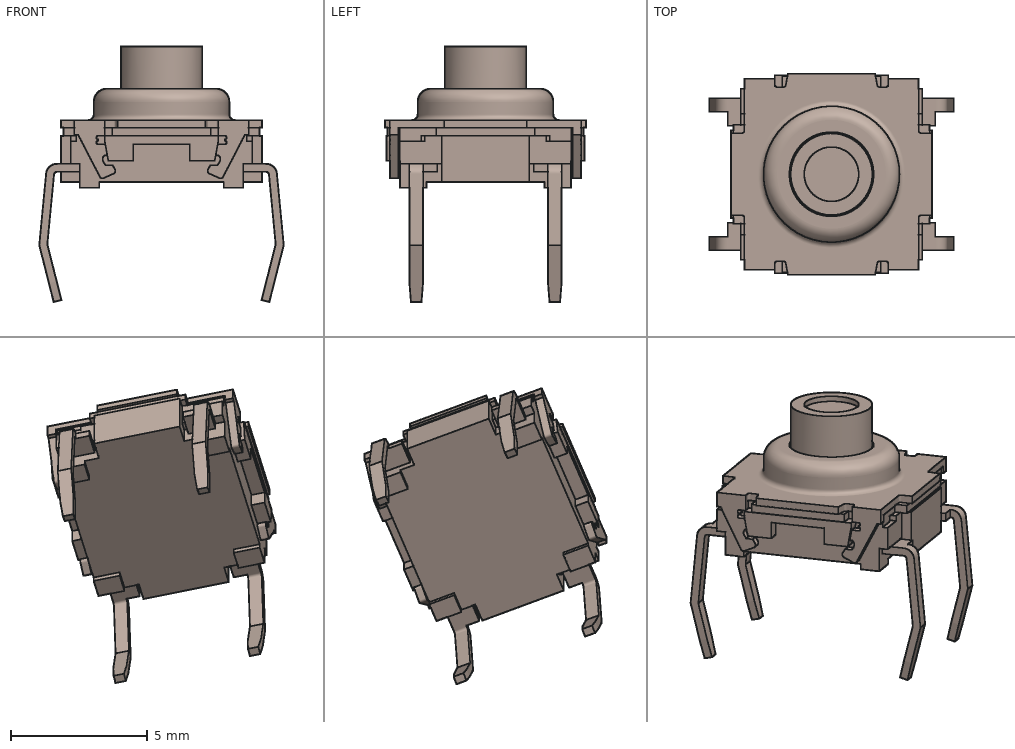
import cadquery as cq
import math

BODY_FLOOR = 0.21
LEAD_BOTTOM = 0.58
LEAD_THICKNESS = 0.3
LEAD_TOP = LEAD_BOTTOM + LEAD_THICKNESS
LATCH_BOTTOM = 0.99
POST_LEDGE = 1.71
BODY_TOP = 1.91
COVER_BOTTOM = 2.21
COVER_TOP = 2.49
COLLAR_TOP = 3.65
BUTTON_TOP = 5.2
LEAD_TIP = -4.2

COVER_WIDTH = 7.4
COVER_HALF = COVER_WIDTH / 2
COVER_CORNER_X = 3.21
COVER_CORNER_Y = 3.52
SIDE_TAB_HALF = 1.51
END_TAB_HALF = 1.61
NOTCH_OUTER = 2.09
NOTCH_TAPER = 0.08
NOTCH_RADIUS = 0.08
HOOK_THICKNESS = 0.31
HOOK_INNER_Y = COVER_CORNER_Y - HOOK_THICKNESS

HOOK_SHOULDER_X = 3.06
HOOK_SHOULDER_Z = 1.95
HEEL_START = (2.27, 0.4)
HEEL_MIDDLE = (2.21, 0.35)
HEEL_END = (2.12, 0.36)
TOE_START = (1.77, 0.52)
TOE_MIDDLE = (1.7, 0.59)
TOE_END = (1.72, 0.7)
SEAT_INNER_X = 1.805
SEAT_OUTER_X = 2.06
SEAT_Z = 0.84
THROAT_START = (2.14, 0.97)
THROAT_MIDDLE = (2.16, 1.09)
THROAT_END = (2.08, 1.19)
RECESS_X = 2.33
RECESS_LOBE_RADIUS = 0.07

BODY_HALF_Y = 3.15
LOWER_BODY_HALF_X = 3.01
POST_HALF_X = 3.34
SIDE_BLOCK_HALF_Y = 1.62
FOOT_SIZE_X = 0.72
FOOT_SIZE_Y = 0.99
LEDGE_X = 3.14
LEDGE_Y = 2.23
RELIEF_WIDTH = 0.13
RELIEF_DEPTH = 0.09

LATCH_Y = 3.65
LATCH_TOP_HALF = NOTCH_OUTER
LATCH_BOTTOM_HALF = 1.955
LATCH_SLOT_HALF = 1.03
LATCH_SLOT_TOP = 1.6

SEAL_HALF = 3.61
SEAL_TAB_HALF = 1.81

COLLAR_DIAMETER = 5.0
COLLAR_FILLET = 0.5
FLARE_RADIUS = 0.2
GAP_DIAMETER = 3.1
GAP_DEPTH = 0.19
BUTTON_DIAMETER = 3.0
DIMPLE_DIAMETER = 2.0
DIMPLE_DEPTH = 0.2

LEAD_SPAN = 9.0
LEAD_HALF_SPAN = LEAD_SPAN / 2
LEAD_SHOULDER_X = 4.21
LEAD_KINK_Z = -2.11
LEAD_TIP_X = 3.97
LEAD_Y = 2.55
LEAD_WIDTH = 0.51
LEAD_TIP_WIDTH = 0.395
LEAD_TAPER_LENGTH = 0.71
LEAD_BEND_RADIUS = 0.1
LEAD_PAD_X = 3.82
LEAD_PAD_INNER_Y = 1.78


def block(x0, x1, y0, y1, z0, z1):
    """Box between two opposite corners."""
    return cq.Workplane("XY").box(x1 - x0, y1 - y0, z1 - z0, centered=False).translate((x0, y0, z0))


def slab(half_x, half_y, z0, z1):
    """Box centred on the Z axis."""
    return block(-half_x, half_x, -half_y, half_y, z0, z1)


def prism_y(outline, y0, y1):
    """Extrude a closed XZ wire from y0 to y1."""
    return outline.extrude(-(y1 - y0)).translate((0, y0, 0))


def four_corners(shape):
    """A shape from the +X +Y quadrant together with its three mirror images."""
    pair = shape.union(shape.mirror("YZ"))
    return pair.union(pair.mirror("XZ"))


def make_body():
    body = slab(LOWER_BODY_HALF_X, BODY_HALF_Y, BODY_FLOOR, BODY_TOP)
    body = body.union(slab(POST_HALF_X, BODY_HALF_Y, LEAD_TOP, BODY_TOP))
    body = body.union(slab(COVER_HALF, SIDE_BLOCK_HALF_Y, BODY_FLOOR, BODY_TOP))
    foot = block(
        LOWER_BODY_HALF_X - FOOT_SIZE_X, LOWER_BODY_HALF_X,
        BODY_HALF_Y - FOOT_SIZE_Y, BODY_HALF_Y,
        0, BODY_FLOOR,
    )
    ledge = block(LEDGE_X, POST_HALF_X, LEDGE_Y, BODY_HALF_Y, POST_LEDGE, BODY_TOP)
    relief = block(
        LEDGE_X - RELIEF_DEPTH, POST_HALF_X,
        LEDGE_Y, LEDGE_Y + RELIEF_WIDTH,
        POST_LEDGE, BODY_TOP,
    )
    return body.union(four_corners(foot)).cut(four_corners(ledge.union(relief)))


def make_latch():
    """Tapered block under the end tabs, slotted from below."""
    outline = cq.Workplane("XZ").polyline([
        (LATCH_TOP_HALF, BODY_TOP),
        (LATCH_TOP_HALF, POST_LEDGE),
        (LATCH_BOTTOM_HALF, LATCH_BOTTOM),
        (LATCH_SLOT_HALF, LATCH_BOTTOM),
        (LATCH_SLOT_HALF, LATCH_SLOT_TOP),
        (-LATCH_SLOT_HALF, LATCH_SLOT_TOP),
        (-LATCH_SLOT_HALF, LATCH_BOTTOM),
        (-LATCH_BOTTOM_HALF, LATCH_BOTTOM),
        (-LATCH_TOP_HALF, POST_LEDGE),
        (-LATCH_TOP_HALF, BODY_TOP),
    ]).close()
    latch = prism_y(outline, BODY_HALF_Y, LATCH_Y)
    return latch.union(latch.mirror("XZ"))


def make_seal():
    seal = slab(LEDGE_X, BODY_HALF_Y, BODY_TOP, COVER_BOTTOM)
    seal = seal.union(slab(SEAL_HALF, SEAL_TAB_HALF, BODY_TOP, COVER_BOTTOM))
    return seal.union(slab(SEAL_TAB_HALF, SEAL_HALF, BODY_TOP, COVER_BOTTOM))


def make_cover():
    side_tabs = slab(COVER_HALF, SIDE_TAB_HALF, COVER_BOTTOM, COVER_TOP)
    cover = slab(COVER_CORNER_X, COVER_CORNER_Y, COVER_BOTTOM, COVER_TOP).union(side_tabs)
    tab_roots = cq.selectors.BoxSelector(
        (-COVER_CORNER_X - NOTCH_RADIUS, -SIDE_TAB_HALF - NOTCH_RADIUS, COVER_BOTTOM),
        (COVER_CORNER_X + NOTCH_RADIUS, SIDE_TAB_HALF + NOTCH_RADIUS, COVER_TOP),
    )
    cover = cover.edges("|Z").edges(tab_roots).fillet(NOTCH_RADIUS)
    cover = cover.union(slab(NOTCH_OUTER, COVER_HALF, COVER_BOTTOM, COVER_TOP))
    notch = (
        cq.Workplane("XY", origin=(0, 0, COVER_BOTTOM))
        .polyline([
            (END_TAB_HALF, COVER_HALF),
            (END_TAB_HALF + NOTCH_TAPER, HOOK_INNER_Y),
            (NOTCH_OUTER, HOOK_INNER_Y),
            (NOTCH_OUTER, COVER_HALF),
        ])
        .close()
        .extrude(COVER_TOP - COVER_BOTTOM)
        .edges("|Z and <Y")
        .fillet(NOTCH_RADIUS)
    )
    return cover.cut(four_corners(notch))


def make_hook():
    """Bent hook hanging from a cover corner, with a barbed foot and a side recess."""
    lobe_low = LATCH_SLOT_TOP + 2 * RECESS_LOBE_RADIUS
    lobe_high = BODY_TOP - 2 * RECESS_LOBE_RADIUS
    lobe_tip = RECESS_X + RECESS_LOBE_RADIUS
    outline = (
        cq.Workplane("XZ")
        .moveTo(NOTCH_OUTER, COVER_BOTTOM)
        .lineTo(COVER_CORNER_X, COVER_BOTTOM)
        .lineTo(COVER_CORNER_X, HOOK_SHOULDER_Z)
        .lineTo(HOOK_SHOULDER_X, HOOK_SHOULDER_Z)
        .lineTo(*HEEL_START)
        .threePointArc(HEEL_MIDDLE, HEEL_END)
        .lineTo(*TOE_START)
        .threePointArc(TOE_MIDDLE, TOE_END)
        .lineTo(SEAT_INNER_X, SEAT_Z)
        .lineTo(SEAT_OUTER_X, SEAT_Z)
        .lineTo(*THROAT_START)
        .threePointArc(THROAT_MIDDLE, THROAT_END)
        .lineTo(LATCH_BOTTOM_HALF, THROAT_END[1])
        .lineTo(LATCH_BOTTOM_HALF, LATCH_SLOT_TOP)
        .lineTo(RECESS_X, LATCH_SLOT_TOP)
        .threePointArc((lobe_tip, LATCH_SLOT_TOP + RECESS_LOBE_RADIUS), (RECESS_X, lobe_low))
        .lineTo(RECESS_X, lobe_high)
        .threePointArc((lobe_tip, BODY_TOP - RECESS_LOBE_RADIUS), (RECESS_X, BODY_TOP))
        .lineTo(NOTCH_OUTER, BODY_TOP)
        .close()
    )
    return prism_y(outline, HOOK_INNER_Y, COVER_CORNER_Y)


def make_collar():
    """Domed collar with a flared foot and a clearance bore for the button."""
    radius = COLLAR_DIAMETER / 2
    collar = (
        cq.Workplane("XZ")
        .moveTo(0, COVER_TOP)
        .lineTo(radius + FLARE_RADIUS, COVER_TOP)
        .radiusArc((radius, COVER_TOP + FLARE_RADIUS), FLARE_RADIUS)
        .lineTo(radius, COLLAR_TOP - COLLAR_FILLET)
        .radiusArc((radius - COLLAR_FILLET, COLLAR_TOP), -COLLAR_FILLET)
        .lineTo(0, COLLAR_TOP)
        .close()
        .revolve(360, (0, 0), (0, 1))
    )
    return collar.faces(">Z").workplane(origin=(0, 0, COLLAR_TOP)).hole(GAP_DIAMETER, GAP_DEPTH)


def make_button():
    base = COLLAR_TOP - GAP_DEPTH
    button = cq.Workplane("XY", origin=(0, 0, base)).circle(BUTTON_DIAMETER / 2).extrude(BUTTON_TOP - base)
    return button.faces(">Z").workplane().hole(DIMPLE_DIAMETER, DIMPLE_DEPTH)


def mitre(point, normal_a, normal_b):
    """Move a corner inward so both of its sides shift by the lead thickness."""
    shift = LEAD_THICKNESS / (1 + normal_a[0] * normal_b[0] + normal_a[1] * normal_b[1])
    return (
        point[0] + shift * (normal_a[0] + normal_b[0]),
        point[1] + shift * (normal_a[1] + normal_b[1]),
    )


def make_lead():
    """One bent lead in the +X +Y quadrant, with its pad and tapered tip."""
    shoulder = (LEAD_SHOULDER_X, LEAD_TOP)
    kink = (LEAD_HALF_SPAN, LEAD_KINK_Z)
    tip = (LEAD_TIP_X, LEAD_TIP)
    upper_tilt = math.atan2(kink[0] - shoulder[0], shoulder[1] - kink[1])
    lower_tilt = math.atan2(kink[0] - tip[0], kink[1] - tip[1])

    flat_normal = (0, -1)
    upper_normal = (-math.cos(upper_tilt), -math.sin(upper_tilt))
    lower_normal = (-math.cos(lower_tilt), math.sin(lower_tilt))
    inner_shoulder = mitre(shoulder, flat_normal, upper_normal)

    outline = cq.Workplane("XZ").polyline([
        (LOWER_BODY_HALF_X, LEAD_TOP),
        shoulder,
        kink,
        tip,
        mitre(tip, lower_normal, lower_normal),
        mitre(kink, upper_normal, lower_normal),
        inner_shoulder,
        (LOWER_BODY_HALF_X, LEAD_BOTTOM),
    ]).close()
    lead = prism_y(outline, LEAD_Y - LEAD_WIDTH / 2, LEAD_Y + LEAD_WIDTH / 2)
    lead = lead.edges(cq.selectors.NearestToPointSelector((shoulder[0], LEAD_Y, shoulder[1])))
    lead = lead.fillet(LEAD_BEND_RADIUS + LEAD_THICKNESS)
    lead = lead.edges(cq.selectors.NearestToPointSelector((inner_shoulder[0], LEAD_Y, inner_shoulder[1])))
    lead = lead.fillet(LEAD_BEND_RADIUS)

    tip_plane = cq.Plane(
        origin=(tip[0], LEAD_Y, tip[1]),
        xDir=(0, 1, 0),
        normal=(-lower_normal[0], 0, -lower_normal[1]),
    )
    for side in (-1, 1):
        wedge = cq.Workplane(tip_plane).polyline([
            (side * LEAD_TIP_WIDTH / 2, 0),
            (side * LEAD_WIDTH / 2, 0),
            (side * LEAD_WIDTH / 2, LEAD_TAPER_LENGTH),
        ]).close().extrude(-LEAD_THICKNESS)
        lead = lead.cut(wedge)

    pad = block(
        LOWER_BODY_HALF_X, LEAD_PAD_X,
        LEAD_PAD_INNER_Y, LEAD_Y,
        LEAD_BOTTOM, LEAD_TOP,
    )
    return lead.union(pad)


result = (
    make_body()
    .union(make_latch())
    .union(make_seal())
    .union(make_cover())
    .union(four_corners(make_hook()))
    .union(make_collar())
    .union(make_button())
    .union(four_corners(make_lead()))
)